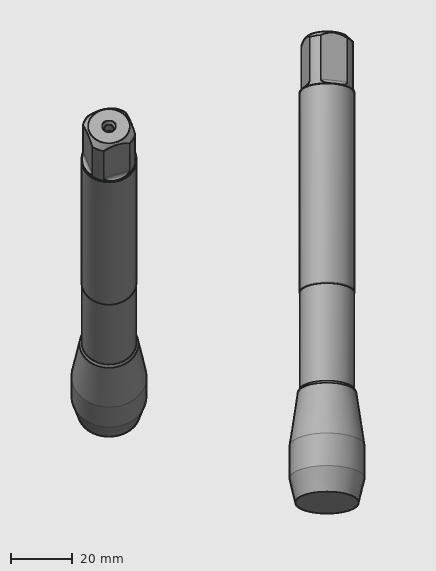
import cadquery as cq
import math

overall_length = 160.0
lead_height = 8.3
head_height = 19.5
back_taper_height = 37.8
neck_height = 38.7
joint_height = 72.3
joint_taper_length = 0.5
shoulder_height = 141.1

tip_diameter = 20.5
head_diameter = 24.3
back_taper_diameter = 19.0
neck_diameter = 17.8
shank_diameter = 18.0
drive_diameter = 17.3

square_width = 14.7
shoulder_chamfer = (shank_diameter - drive_diameter) / 2
runout_radius = 1.6
flat_depth = (drive_diameter - square_width) / 2
runout_start = shoulder_height + shoulder_chamfer
top_chamfer = 2.0

center_hole_diameter = 3.0
countersink_diameter = 4.5
countersink_angle = 60.0
center_hole_depth = 4.8
drill_point_angle = 118.0


def cone_height(radial_change, included_angle):
    """Axial length of a cone whose radius changes by radial_change."""
    return radial_change / math.tan(math.radians(included_angle / 2))


def revolve_profile(points):
    """Revolve an (r, z) outline about the Z axis."""
    return cq.Workplane("XZ").polyline(points).close().revolve(360, (0, 0, 0), (0, 1, 0))


def make_head():
    """Tapered head with its neck, ending at the joint plane."""
    return revolve_profile([
        (0, 0),
        (tip_diameter / 2, 0),
        (head_diameter / 2, lead_height),
        (head_diameter / 2, head_height),
        (back_taper_diameter / 2, back_taper_height),
        (neck_diameter / 2, neck_height),
        (neck_diameter / 2, joint_height),
        (0, joint_height),
    ])


def make_shank_blank():
    """Turned shank, before the flats and the center hole are cut."""
    return revolve_profile([
        (0, joint_height),
        (neck_diameter / 2, joint_height),
        (shank_diameter / 2, joint_height + joint_taper_length),
        (shank_diameter / 2, shoulder_height),
        (drive_diameter / 2, runout_start),
        (drive_diameter / 2, overall_length - top_chamfer),
        (drive_diameter / 2 - top_chamfer, overall_length),
        (0, overall_length),
    ])


def make_flat_cutter():
    """Block on the +X side that cuts one flat with a concave run-out at its foot."""
    inner = square_width / 2
    outer = shank_diameter / 2
    arc_center_x = inner + runout_radius
    drop = math.sqrt(runout_radius**2 - (runout_radius - flat_depth) ** 2)
    arc_center_z = runout_start + drop
    middle_angle = (math.pi + math.atan2(-drop, flat_depth - runout_radius) % (2 * math.pi)) / 2
    arc_middle = (
        arc_center_x + runout_radius * math.cos(middle_angle),
        arc_center_z + runout_radius * math.sin(middle_angle),
    )
    return (
        cq.Workplane("XZ")
        .moveTo(inner, overall_length)
        .lineTo(inner, arc_center_z)
        .threePointArc(arc_middle, (drive_diameter / 2, runout_start))
        .lineTo(outer, runout_start)
        .lineTo(outer, overall_length)
        .close()
        .extrude(shank_diameter / 2, both=True)
    )


def make_center_hole():
    """Countersunk center hole with a drill point."""
    hole_radius = center_hole_diameter / 2
    sink_radius = countersink_diameter / 2
    sink_depth = cone_height(sink_radius - hole_radius, countersink_angle)
    hole_floor = overall_length - center_hole_depth
    return revolve_profile([
        (0, overall_length),
        (sink_radius, overall_length),
        (hole_radius, overall_length - sink_depth),
        (hole_radius, hole_floor),
        (0, hole_floor - cone_height(hole_radius, drill_point_angle)),
    ])


def make_shank():
    """Shank with its drive square and center hole."""
    shank = make_shank_blank()
    flat_cutter = make_flat_cutter()
    for angle in (0, 90, 180, 270):
        shank = shank.cut(flat_cutter.rotate((0, 0, 0), (0, 0, 1), angle))
    return shank.cut(make_center_hole())


head = make_head()
shank = make_shank()

result = cq.Compound.makeCompound([head.val(), shank.val()])